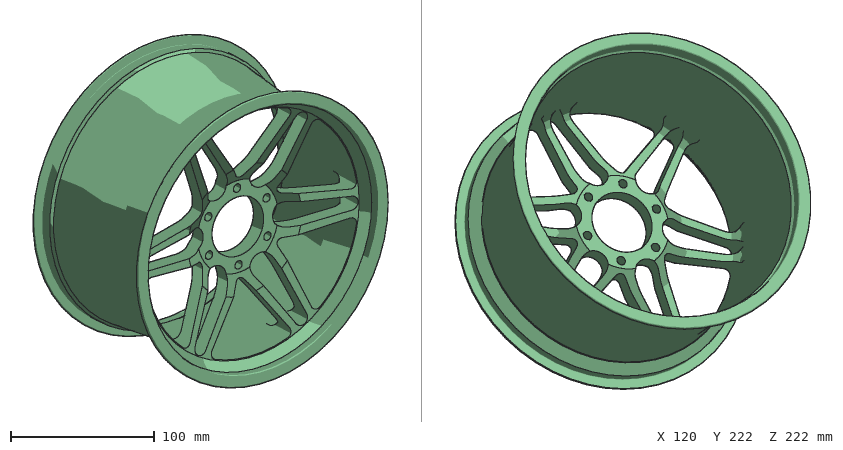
import cadquery as cq
import math

width = 120.0
front_flange_radius = 111.0
rear_flange_radius = 109.0
flange_thickness = 2.2
flange_edge_round = 0.9
seat_fillet = 0.5

wall = 2.5
front_seat_wall = 2.0
taper_start_wall = 1.5
step_bore_lead = 1.5
front_seat_radius = 103.8
front_seat_end = 10.5
step_length = 1.5
step_bore_blend = 1.5
taper_start_radius = 101.5
drum_radius = 94.7
drum_start = 79.5
flare_start = 103.8
flare_end = 111.3
flare_bore_shift = 1.3
rear_seat_radius = 102.0
flare_blend = 1.0
mouth_round = 1.0
drum_bore_radius = drum_radius - wall

hub_face = 78.3
hub_flat_radius = 35.0
disc_depth = 12.0
knee_radius = 49.2
shoulder_slope = 0.57
dish_slope = 0.18
knee_round = 22.2
wall_foot_fillet = 9.5

bore_radius = 22.5
bolt_count = 6
bolt_circle_radius = 29.3
bolt_hole_radius = 3.0
bolt_offset_angle = 1.3
pitch_angle = 360 / bolt_count
opening_relief = 0.33
opening_radius = drum_bore_radius + opening_relief
slot_inner_center = 40.0
slot_inner_radius = 9.8
slot_outer_radius = 5.3
slot_outer_center = opening_radius - slot_outer_radius
window_apex = 35.3
window_half_angle = 36.8
window_apex_round = 4.5
window_corner_round = 4.5
cutter_start = 66.5


def revolve_profile(points):
    """Revolve a closed (X, radius) outline around the X axis."""
    return cq.Workplane("XY").polyline(points).close().revolve(360, (0, 0, 0), (1, 0, 0))


def circle_edges(body, x, radius):
    """Circular edges around the axle at a given place along X and radius."""
    tolerance = 0.02

    def matches(edge):
        if edge.geomType() != "CIRCLE":
            return False
        return abs(edge.arcCenter().x - x) < tolerance and abs(edge.radius() - radius) < tolerance

    return body.edges().filter(matches)


def fillet_circle(body, x, radius, size):
    """Round off one circular edge; size is the fillet radius."""
    return circle_edges(body, x, radius).fillet(size)


def make_barrel():
    taper_start = front_seat_end + step_length
    rear_flange_face = width - flange_thickness
    front_seat_bore = front_seat_radius - front_seat_wall
    front_seat_bore_end = front_seat_end - step_bore_lead
    taper_bore = taper_start_radius - taper_start_wall
    rear_seat_bore = rear_seat_radius - wall
    outer = [
        (0, front_flange_radius),
        (flange_thickness, front_flange_radius),
        (flange_thickness, front_seat_radius),
        (front_seat_end, front_seat_radius),
        (taper_start, taper_start_radius),
        (drum_start, drum_radius),
        (flare_start, drum_radius),
        (flare_end, rear_seat_radius),
        (rear_flange_face, rear_seat_radius),
        (rear_flange_face, rear_flange_radius),
        (width, rear_flange_radius),
    ]
    inner = [
        (width, rear_seat_bore),
        (flare_end + flare_bore_shift, rear_seat_bore),
        (flare_start + flare_bore_shift, drum_bore_radius),
        (drum_start, drum_bore_radius),
        (front_seat_bore_end + step_length, taper_bore),
        (front_seat_bore_end, front_seat_bore),
        (0, front_seat_bore),
    ]
    barrel = revolve_profile(outer + inner)
    barrel = fillet_circle(barrel, 0, front_flange_radius, flange_edge_round)
    barrel = fillet_circle(barrel, flange_thickness, front_flange_radius, flange_edge_round)
    barrel = fillet_circle(barrel, width, rear_flange_radius, flange_edge_round)
    barrel = fillet_circle(barrel, flange_thickness, front_seat_radius, seat_fillet)
    barrel = fillet_circle(barrel, rear_flange_face, rear_seat_radius, seat_fillet)
    barrel = fillet_circle(barrel, front_seat_bore_end, front_seat_bore, step_bore_blend)
    barrel = fillet_circle(barrel, flare_start, drum_radius, flare_blend)
    barrel = fillet_circle(barrel, 0, front_seat_bore, mouth_round)
    barrel = fillet_circle(barrel, width, rear_seat_bore, mouth_round)
    return barrel


def add_disc(barrel):
    knee_x = hub_face + shoulder_slope * (knee_radius - hub_flat_radius)
    foot_x = knee_x + dish_slope * (drum_bore_radius - knee_radius)
    rim_radius = (drum_bore_radius + drum_radius) / 2
    rim_x = knee_x + dish_slope * (rim_radius - knee_radius)
    front = [
        (hub_face, bore_radius),
        (hub_face, hub_flat_radius),
        (knee_x, knee_radius),
        (rim_x, rim_radius),
    ]
    back = [(x + disc_depth, radius) for x, radius in reversed(front)]
    disc = fillet_circle(revolve_profile(front + back), knee_x, knee_radius, knee_round)
    return fillet_circle(barrel.union(disc), foot_x, drum_bore_radius, wall_foot_fillet)


def cutter_plane():
    return cq.Workplane(cq.Plane((cutter_start, 0, 0), (0, 1, 0), (1, 0, 0)))


def make_slot():
    """Tapered slot with round ends, lying along +Y."""
    spacing = slot_outer_center - slot_inner_center
    tangent_angle = math.asin((slot_inner_radius - slot_outer_radius) / spacing)
    along = math.sin(tangent_angle)
    across = math.cos(tangent_angle)
    inner_side = (slot_inner_center + slot_inner_radius * along, slot_inner_radius * across)
    outer_side = (slot_outer_center + slot_outer_radius * along, slot_outer_radius * across)
    return (
        cutter_plane()
        .moveTo(*inner_side)
        .lineTo(*outer_side)
        .threePointArc((opening_radius, 0), (outer_side[0], -outer_side[1]))
        .lineTo(inner_side[0], -inner_side[1])
        .threePointArc((slot_inner_center - slot_inner_radius, 0), inner_side)
        .close()
        .extrude(width - cutter_start)
    )


def make_window():
    """Wedge between two diverging spokes, lying along +Y, bounded by the wall."""
    half_angle = math.radians(window_half_angle)
    lateral = window_apex * math.sin(half_angle)
    side = math.sqrt(opening_radius**2 - lateral**2) - window_apex * math.cos(half_angle)
    corner = (window_apex + side * math.cos(half_angle), side * math.sin(half_angle))
    window = (
        cutter_plane()
        .moveTo(window_apex, 0)
        .lineTo(*corner)
        .threePointArc((opening_radius, 0), (corner[0], -corner[1]))
        .close()
        .extrude(width - cutter_start)
    )
    window = window.edges("|X").edges("<Y").fillet(window_apex_round)
    return window.edges("|X").edges(">Z or <Z").fillet(window_corner_round)


def make_bolt_hole():
    return (
        cutter_plane()
        .center(bolt_circle_radius, 0)
        .circle(bolt_hole_radius)
        .extrude(width - cutter_start)
    )


def around_axle(body, angle):
    return body.rotate((0, 0, 0), (1, 0, 0), angle)


wheel = add_disc(make_barrel())
slot = make_slot()
window = make_window()
bolt_hole = make_bolt_hole()
for index in range(bolt_count):
    slot_angle = index * pitch_angle
    bolt_angle = slot_angle + pitch_angle / 2
    wheel = wheel.cut(around_axle(slot, slot_angle))
    wheel = wheel.cut(around_axle(window, bolt_angle))
    wheel = wheel.cut(around_axle(bolt_hole, bolt_angle + bolt_offset_angle))

result = wheel